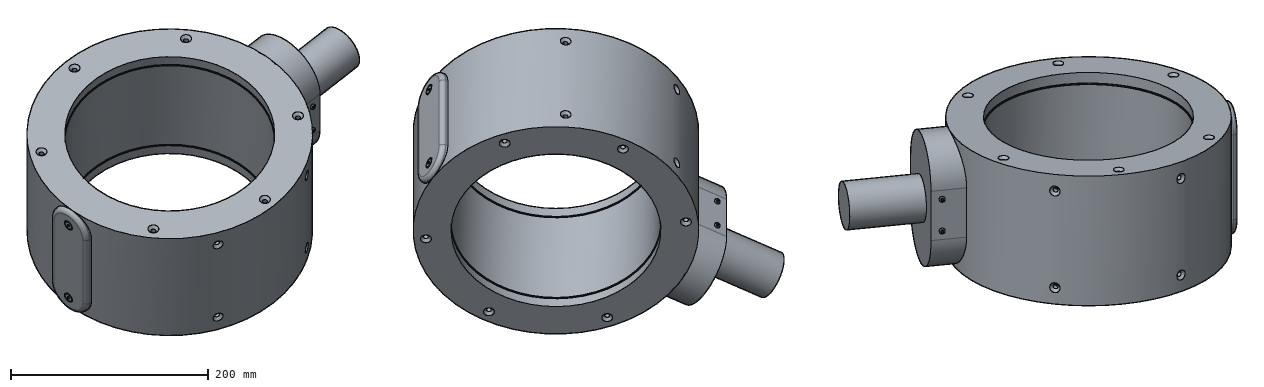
import cadquery as cq
import math

RING_RADIUS = 145.0
RING_HEIGHT = 145.0
BORE_RADIUS = 106.5
LIP_HEIGHT = 12.0
SEAM_WIDTH = 1.5
SEAM_DEPTH = 0.5

HOLE_DIAMETER = 5.0
HOLE_DEPTH = 10.0
SINK_DIAMETER = 11.0
SINK_DEPTH = (SINK_DIAMETER - HOLE_DIAMETER) / 2
HOLE_PITCH = 54.0
FACE_HOLE_CIRCLE = 132.5
WALL_HOLE_Z = 54.0

BLOCK_WIDTH = 90.0
BLOCK_HEIGHT = 145.06
BLOCK_END_Y = 175.0
STUB_DIAMETER = 50.0
STUB_LENGTH = 80.0

SIDE_SCREW_DIAMETER = 6.0
SIDE_SCREW_HEIGHT = 2.0
SIDE_SCREW_ROUND = 0.8
SIDE_SCREW_SOCKET = 2.5
SIDE_SCREW_SOCKET_DEPTH = 1.0
SIDE_SCREW_FROM_END = 11.5
SIDE_SCREW_Z = 17.7

COVER_WIDTH = 50.0
COVER_HEIGHT = 145.0
COVER_FACE_Y = -150.2
COVER_ROUND = 5.0

COVER_SCREW_Z = 54.0
COVER_SINK_DIAMETER = 11.0
COVER_SINK_DEPTH = 2.0
COVER_HEAD_DIAMETER = 9.0
COVER_PIN_DIAMETER = 2.5
COVER_PIN_RISE = 0.25


def cylinder(radius, start, direction, length):
    return cq.Workplane(cq.Solid.makeCylinder(radius, length, start, direction))


def countersink(opening, inward):
    """Cutter for one blind countersunk hole."""
    cone = cq.Solid.makeCone(SINK_DIAMETER / 2, HOLE_DIAMETER / 2, SINK_DEPTH, opening, inward)
    drill = cq.Solid.makeCylinder(HOLE_DIAMETER / 2, HOLE_DEPTH, opening, inward)
    return cq.Workplane(cone.fuse(drill))


def stadium(width, height, start_y, length):
    """Upright stadium prism running along +Y from start_y."""
    plane = cq.Workplane("XZ", origin=(0, start_y, 0))
    return plane.slot2D(height, width, 90).extrude(-length)


def solid_body():
    ring = cq.Workplane("XY").circle(RING_RADIUS).extrude(RING_HEIGHT / 2, both=True)
    ring_zone = cq.Workplane("XY").circle(RING_RADIUS).extrude(BLOCK_HEIGHT, both=True)
    block = stadium(BLOCK_WIDTH, BLOCK_HEIGHT, 0, BLOCK_END_Y).cut(ring_zone)
    stub = cylinder(STUB_DIAMETER / 2, cq.Vector(0, 0, 0), cq.Vector(0, 1, 0), BLOCK_END_Y + STUB_LENGTH)
    cover = stadium(COVER_WIDTH, COVER_HEIGHT, COVER_FACE_Y, -COVER_FACE_Y)
    cover = cover.faces("<Y").edges().fillet(COVER_ROUND)
    return ring.union(block).union(stub).union(cover)


def bore():
    cutter = cq.Workplane("XY").circle(BORE_RADIUS).extrude(BLOCK_HEIGHT, both=True)
    groove_z = RING_HEIGHT / 2 - LIP_HEIGHT - SEAM_WIDTH / 2
    for z in (-groove_z, groove_z):
        groove = cq.Workplane("XY", origin=(0, 0, z)).circle(BORE_RADIUS + SEAM_DEPTH)
        cutter = cutter.union(groove.extrude(SEAM_WIDTH / 2, both=True))
    return cutter


def drill_ring(body):
    for side in (0, 180):
        for step in (-1, 0, 1):
            angle = math.radians(side + step * HOLE_PITCH)
            x = FACE_HOLE_CIRCLE * math.cos(angle)
            y = FACE_HOLE_CIRCLE * math.sin(angle)
            for end in (-1, 1):
                opening = cq.Vector(x, y, end * RING_HEIGHT / 2)
                body = body.cut(countersink(opening, cq.Vector(0, 0, -end)))
        for half_step in (-0.5, 0.5):
            angle = math.radians(side + half_step * HOLE_PITCH)
            outward = cq.Vector(math.cos(angle), math.sin(angle), 0)
            for z in (-WALL_HOLE_Z, WALL_HOLE_Z):
                opening = outward * RING_RADIUS + cq.Vector(0, 0, z)
                body = body.cut(countersink(opening, -outward))
    return body


def side_screw(side, z):
    seat = cq.Plane(
        origin=(side * BLOCK_WIDTH / 2, BLOCK_END_Y - SIDE_SCREW_FROM_END, z),
        xDir=(0, 1, 0),
        normal=(side, 0, 0),
    )
    head = cq.Workplane(seat).circle(SIDE_SCREW_DIAMETER / 2).extrude(SIDE_SCREW_HEIGHT)
    top = head.faces(">X" if side > 0 else "<X")
    head = top.edges().fillet(SIDE_SCREW_ROUND)
    socket = cq.Workplane(seat).workplane(offset=SIDE_SCREW_HEIGHT)
    return head.cut(socket.polygon(6, SIDE_SCREW_SOCKET).extrude(-SIDE_SCREW_SOCKET_DEPTH))


def add_cover_screw(body, z):
    outward = cq.Vector(0, -1, 0)
    floor_centre = cq.Vector(0, COVER_FACE_Y + COVER_SINK_DEPTH, z)
    sink = cylinder(COVER_SINK_DIAMETER / 2, floor_centre, outward, COVER_SINK_DEPTH)
    head = cylinder(COVER_HEAD_DIAMETER / 2, floor_centre, outward, COVER_SINK_DEPTH)
    pin_length = COVER_SINK_DEPTH + COVER_PIN_RISE
    pin = cylinder(COVER_PIN_DIAMETER / 2, floor_centre, outward, pin_length)
    return body.cut(sink).union(head.union(pin))


result = drill_ring(solid_body().cut(bore()))
for screw_side in (-1, 1):
    for screw_z in (-SIDE_SCREW_Z, SIDE_SCREW_Z):
        result = result.union(side_screw(screw_side, screw_z))
for screw_z in (-COVER_SCREW_Z, COVER_SCREW_Z):
    result = add_cover_screw(result, screw_z)